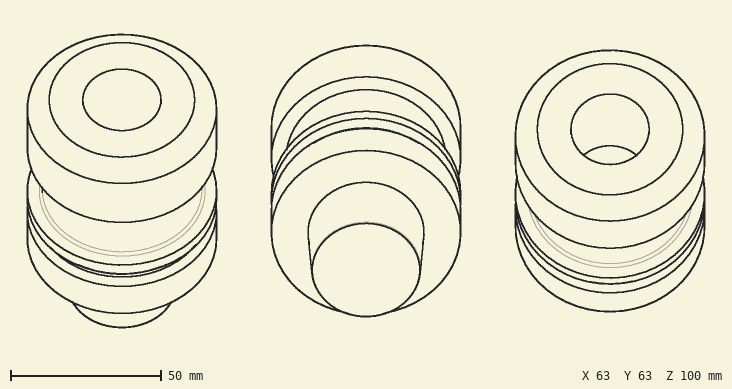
import cadquery as cq

outer_radius = 31.5
total_height = 100.0
shank_length = 25.0
top_z = total_height - shank_length

shank_root_radius = 19.3
shank_tip_radius = 18.1
tip_chamfer_height = 0.7
tip_chamfer_width = 0.2

flange_height = 26.1
groove_center_z = 18.0
groove_mouth_width = 6.8
groove_floor_width = 3.6
groove_shoulder_radius = 28.8
groove_floor_radius = 27.6

neck_radius = 26.6
neck_fillet = 1.0
nut_bottom_z = 49.1
nut_chamfer_height = 4.9
nut_top_radius = 24.2

bore_radius = 13.0
bore_depth = 40.0


def make_body():
    """Revolve the half profile of shank, flange, neck and nut about Z."""
    tip_z = -shank_length
    taper_end_z = tip_z + tip_chamfer_height
    mouth_half = groove_mouth_width / 2
    floor_half = groove_floor_width / 2
    profile = (
        cq.Workplane("XZ")
        .moveTo(0, tip_z)
        .lineTo(shank_tip_radius - tip_chamfer_width, tip_z)
        .lineTo(shank_tip_radius, taper_end_z)
        .lineTo(shank_root_radius, 0)
        .lineTo(outer_radius, 0)
        .lineTo(outer_radius, groove_center_z - mouth_half)
        .lineTo(groove_shoulder_radius, groove_center_z - floor_half)
        .lineTo(groove_floor_radius, groove_center_z - floor_half)
        .lineTo(groove_floor_radius, groove_center_z + floor_half)
        .lineTo(groove_shoulder_radius, groove_center_z + floor_half)
        .lineTo(outer_radius, groove_center_z + mouth_half)
        .lineTo(outer_radius, flange_height)
        .lineTo(neck_radius + neck_fillet, flange_height)
        .radiusArc((neck_radius, flange_height + neck_fillet), neck_fillet)
        .lineTo(neck_radius, nut_bottom_z)
        .lineTo(outer_radius, nut_bottom_z)
        .lineTo(outer_radius, top_z - nut_chamfer_height)
        .lineTo(nut_top_radius, top_z)
        .lineTo(0, top_z)
        .close()
    )
    return profile.revolve(360, (0, 0, 0), (0, 1, 0))


def make_bore():
    """Cylinder that is removed from the top face."""
    return cq.Workplane("XY").workplane(offset=top_z - bore_depth).circle(bore_radius).extrude(bore_depth)


result = make_body().cut(make_bore())